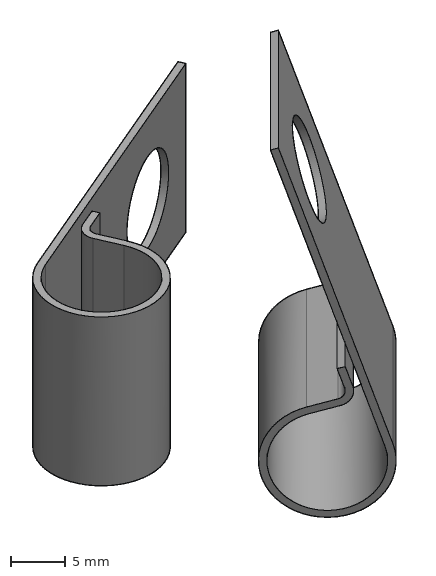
import cadquery as cq
import math

length = 41.3
width = 19.05
thickness = 0.8
loop_outer_radius = 6.35
hole_diameter = 10.32
hole_end_distance = 9.45
lip_tip_y = 9.6
lip_outer_x = -4.8
lip_bend_inner_radius = 0.95

loop_inner_radius = loop_outer_radius - thickness
leg_end_y = length - loop_outer_radius
lip_inner_x = lip_outer_x + thickness
lip_bend_outer_radius = lip_bend_inner_radius + thickness
bend_x = lip_inner_x + lip_bend_inner_radius
bend_y = loop_outer_radius + lip_bend_inner_radius
diagonal = math.sqrt(0.5)


def make_strip():
    """Long leg, three-quarter loop and turned-up lip, extruded across the width."""
    profile = (
        cq.Workplane("XY")
        .moveTo(-loop_outer_radius, leg_end_y)
        .lineTo(-loop_outer_radius, 0)
        .threePointArc(
            (loop_outer_radius * diagonal, -loop_outer_radius * diagonal),
            (0, loop_outer_radius),
        )
        .lineTo(bend_x, loop_outer_radius)
        .threePointArc(
            (bend_x - lip_bend_inner_radius * diagonal, bend_y - lip_bend_inner_radius * diagonal),
            (lip_inner_x, bend_y),
        )
        .lineTo(lip_inner_x, lip_tip_y)
        .lineTo(lip_outer_x, lip_tip_y)
        .lineTo(lip_outer_x, bend_y)
        .threePointArc(
            (bend_x - lip_bend_outer_radius * diagonal, bend_y - lip_bend_outer_radius * diagonal),
            (bend_x, loop_inner_radius),
        )
        .lineTo(0, loop_inner_radius)
        .threePointArc(
            (loop_inner_radius * diagonal, -loop_inner_radius * diagonal),
            (-loop_inner_radius, 0),
        )
        .lineTo(-loop_inner_radius, leg_end_y)
        .close()
    )
    return profile.extrude(width / 2, both=True)


def make_hole_cutter():
    """Cylinder that passes through the long leg only."""
    return (
        cq.Workplane("YZ", origin=(-loop_outer_radius, 0, 0))
        .center(leg_end_y - hole_end_distance, 0)
        .circle(hole_diameter / 2)
        .extrude(thickness)
    )


result = make_strip().cut(make_hole_cutter())